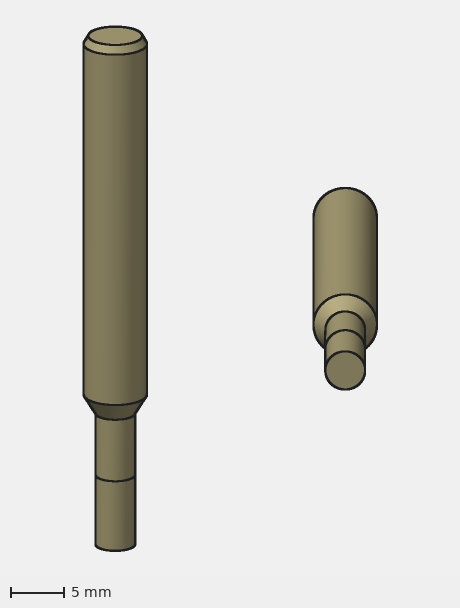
import cadquery as cq

total_length = 51.0
shank_radius = 3.0

tip_length = 7.0
tip_radius = 1.9

neck_radius = tip_radius
neck_top = 13.15
taper_height = 1.9
taper_top = neck_top + taper_height

chamfer_height = 0.8
chamfer_inset = 0.45


def make_tip():
    """Plain cylindrical cutting tip standing on the XY plane."""
    return cq.Workplane("XY").circle(tip_radius).extrude(tip_length)


def make_holder():
    """Neck, taper and chamfered shank, turned as one piece about Z."""
    half_profile = [
        (0, tip_length),
        (neck_radius, tip_length),
        (neck_radius, neck_top),
        (shank_radius, taper_top),
        (shank_radius, total_length - chamfer_height),
        (shank_radius - chamfer_inset, total_length),
        (0, total_length),
    ]
    return cq.Workplane("XZ").polyline(half_profile).close().revolve(360, (0, 0), (0, 1))


tip = make_tip()
holder = make_holder()

result = cq.Compound.makeCompound([tip.val(), holder.val()])